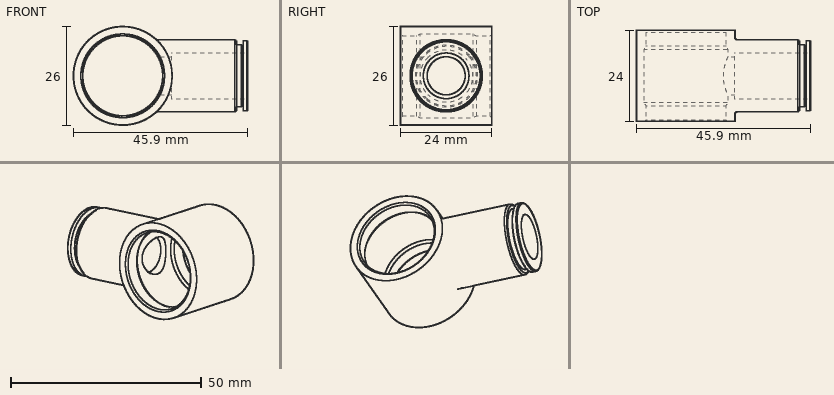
import cadquery as cq
import math

OVERALL_LENGTH = 45.9

RING_RADIUS = 13.0
RING_LENGTH = 24.0
LIP_RADIUS = 10.5
RECESS_RADIUS = 11.0
LIP_END_DEPTH = 4.15
RECESS_FLANK_ANGLE = 30.0
MOUTH_CHAMFER = 0.5

BRANCH_RADIUS = 9.5
BRANCH_END = 29.93
BRANCH_CHAMFER = 0.45
JUNCTION_FILLET = 0.5

NECK_RADIUS = 8.15
NECK_END = 31.5
NECK_CHAMFER = 0.3
STEM_RADIUS = 6.9
STEM_GAP = 0.15
FLANGE_RADIUS = 9.23
FLANGE_CHAMFER = 0.28
COLLAR_END = OVERALL_LENGTH - RING_RADIUS

PORT_RADIUS = 5.0
SOCKET_RADIUS = 6.0
SOCKET_START = 12.7


def cylinder_x(radius, start, end):
    return cq.Workplane("YZ").workplane(offset=start).circle(radius).extrude(end - start)


def cylinder_y(radius, length):
    return cq.Workplane("XZ").circle(radius).extrude(length / 2, both=True)


def make_body():
    """Ring and branch, blended where they meet."""
    ring = cylinder_y(RING_RADIUS, RING_LENGTH)
    branch = cylinder_x(BRANCH_RADIUS, 0, BRANCH_END).faces(">X").chamfer(BRANCH_CHAMFER)
    box_reach = (BRANCH_RADIUS + RING_LENGTH / 2) / 2
    junction = cq.selectors.BoxSelector(
        (0, -box_reach, -box_reach),
        (BRANCH_END / 2, box_reach, box_reach),
    )
    return ring.union(branch).edges(junction).fillet(JUNCTION_FILLET)


def make_collar():
    """Neck, thin stem gap and end flange."""
    flange_start = NECK_END + STEM_GAP
    neck = cylinder_x(NECK_RADIUS, SOCKET_START, NECK_END).faces(">X").chamfer(NECK_CHAMFER)
    stem = cylinder_x(STEM_RADIUS, SOCKET_START, COLLAR_END)
    flange = cylinder_x(FLANGE_RADIUS, flange_start, COLLAR_END).faces(">X").chamfer(FLANGE_CHAMFER)
    return neck.union(stem).union(flange)


def make_ring_bore():
    """Through bore with chamfered mouths and a wider recess between two end lips."""
    half_length = RING_LENGTH / 2
    mouth_radius = LIP_RADIUS + MOUTH_CHAMFER
    mouth_start = half_length - MOUTH_CHAMFER
    lip_end = half_length - LIP_END_DEPTH
    flank_length = (RECESS_RADIUS - LIP_RADIUS) / math.tan(math.radians(RECESS_FLANK_ANGLE))
    recess_end = lip_end - flank_length
    return (
        cq.Workplane("XY")
        .moveTo(0, -half_length)
        .lineTo(mouth_radius, -half_length)
        .lineTo(LIP_RADIUS, -mouth_start)
        .lineTo(LIP_RADIUS, -lip_end)
        .lineTo(RECESS_RADIUS, -recess_end)
        .lineTo(RECESS_RADIUS, recess_end)
        .lineTo(LIP_RADIUS, lip_end)
        .lineTo(LIP_RADIUS, mouth_start)
        .lineTo(mouth_radius, half_length)
        .lineTo(0, half_length)
        .close()
        .revolve(360, (0, 0, 0), (0, 1, 0))
    )


port = cylinder_x(PORT_RADIUS, 0, SOCKET_START)
socket = cylinder_x(SOCKET_RADIUS, SOCKET_START, COLLAR_END)

result = make_body().union(make_collar()).cut(make_ring_bore()).cut(port).cut(socket)